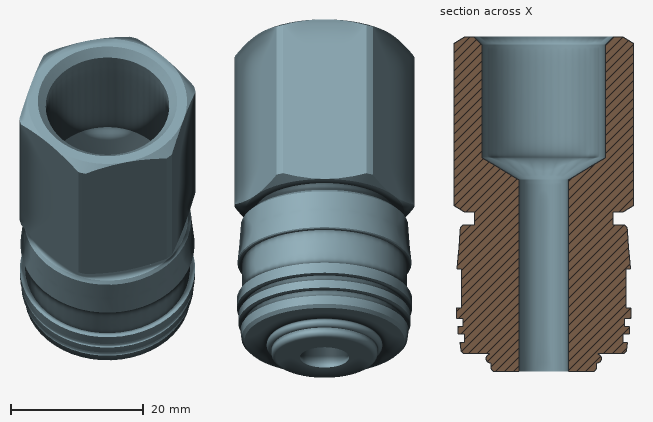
import cadquery as cq
import math

total_height = 50.5

hex_bottom = 24.1
hex_across_flats = 24.0
hex_across_corners = 27.05
hex_height = total_height - hex_bottom
hex_end_chamfer = 0.95

neck_radius = 21.0 / 2

sleeve_top = 22.2
sleeve_bottom = 15.45
sleeve_top_radius = 12.6
sleeve_bottom_radius = 13.15
sleeve_chamfer = 0.45
sleeve_lower_bevel = 0.15

body_radius = 12.4
upper_ring_top = 9.7
upper_ring_bottom = 8.05
upper_ring_radius = 26.4 / 2
upper_groove_radius = 12.2
lower_ring_top = 6.9
lower_ring_bottom = 5.65
lower_ring_radius = 26.0 / 2
lower_groove_radius = 12.0

end_ring_top = 4.5
end_ring_bottom = 2.75
end_ring_top_radius = 12.7
end_ring_lower_radius = 12.5
end_ring_chamfer = 0.45

nose_radius = 16.0 / 2
nose_fillet = 0.7
bead_bottom = 1.3
bead_radius = 8.75

bore_radius = 18.65 / 2
bore_mouth_radius = 21.0 / 2
bore_depth = 18.2
passage_radius = 7.4 / 2
drill_point_angle = 118.0


def revolve_about_z(profile):
    """Revolve a closed (radius, height) profile about the Z axis."""
    return profile.close().revolve(360, (0, 0, 0), (0, 1, 0))


def make_hexagon():
    """Hexagon with flats facing +X and -X, turned corners and chamfered ends."""
    sharp_corner_diameter = hex_across_flats / math.cos(math.radians(30))
    prism = (
        cq.Workplane("XY", origin=(0, 0, hex_bottom))
        .transformed(rotate=(0, 0, 30))
        .polygon(6, sharp_corner_diameter)
        .extrude(hex_height)
    )
    end_chamfer_width = (hex_across_corners - hex_across_flats) / 2
    turned_blank = (
        cq.Workplane("XY", origin=(0, 0, hex_bottom))
        .circle(hex_across_corners / 2)
        .extrude(hex_height)
        .faces("<Z or >Z")
        .edges()
        .chamfer(hex_end_chamfer, end_chamfer_width)
    )
    return prism.intersect(turned_blank)


def make_turned_body():
    """Nose, rings, sleeve and neck as one revolved profile, from the bottom up."""
    fillet_offset = nose_fillet * (1 - math.sqrt(0.5))
    bead_middle = (bead_bottom + end_ring_bottom) / 2
    profile = (
        cq.Workplane("XZ")
        .lineTo(nose_radius - nose_fillet, 0)
        .threePointArc((nose_radius - fillet_offset, fillet_offset), (nose_radius, nose_fillet))
        .lineTo(nose_radius, bead_bottom)
        .threePointArc((bead_radius, bead_middle), (nose_radius, end_ring_bottom))
        .lineTo(end_ring_lower_radius - end_ring_chamfer, end_ring_bottom)
        .lineTo(end_ring_lower_radius, end_ring_bottom + end_ring_chamfer)
        .lineTo(end_ring_top_radius, end_ring_top)
        .lineTo(lower_groove_radius, end_ring_top)
        .lineTo(lower_groove_radius, lower_ring_bottom)
        .lineTo(lower_ring_radius, lower_ring_bottom)
        .lineTo(lower_ring_radius, lower_ring_top)
        .lineTo(upper_groove_radius, lower_ring_top)
        .lineTo(upper_groove_radius, upper_ring_bottom)
        .lineTo(upper_ring_radius, upper_ring_bottom)
        .lineTo(upper_ring_radius, upper_ring_top)
        .lineTo(body_radius, upper_ring_top)
        .lineTo(body_radius, sleeve_bottom)
        .lineTo(sleeve_bottom_radius - sleeve_lower_bevel, sleeve_bottom)
        .lineTo(sleeve_bottom_radius, sleeve_bottom + sleeve_lower_bevel)
        .lineTo(sleeve_top_radius, sleeve_top - sleeve_chamfer)
        .lineTo(sleeve_top_radius - sleeve_chamfer, sleeve_top)
        .lineTo(neck_radius, sleeve_top)
        .lineTo(neck_radius, hex_bottom)
        .lineTo(0, hex_bottom)
    )
    return revolve_about_z(profile)


def make_bore():
    """Countersunk bore with a conical floor leading to a through passage."""
    mouth_chamfer = bore_mouth_radius - bore_radius
    bore_floor = total_height - bore_depth
    half_point_angle = math.radians(drill_point_angle / 2)
    cone_height = (bore_radius - passage_radius) / math.tan(half_point_angle)
    profile = (
        cq.Workplane("XZ")
        .lineTo(passage_radius, 0)
        .lineTo(passage_radius, bore_floor - cone_height)
        .lineTo(bore_radius, bore_floor)
        .lineTo(bore_radius, total_height - mouth_chamfer)
        .lineTo(bore_mouth_radius, total_height)
        .lineTo(0, total_height)
    )
    return revolve_about_z(profile)


result = make_turned_body().union(make_hexagon()).cut(make_bore())